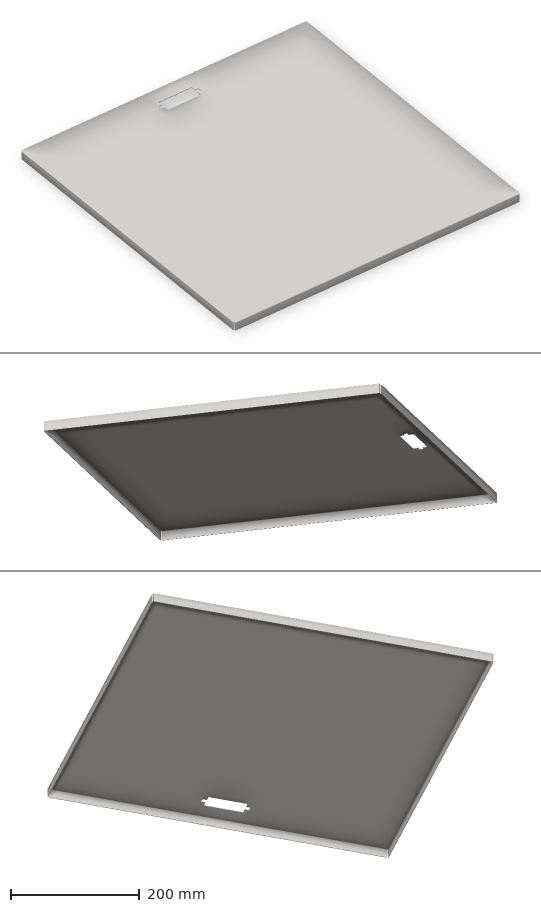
import cadquery as cq
import math

LENGTH_X = 554.4
LENGTH_Y = 555.4
HEIGHT = 16.2

THICKNESS = 1.2
BEND_RADIUS = 1.95
INNER_BEND_RADIUS = BEND_RADIUS - THICKNESS

FLAT_X = LENGTH_X - 2 * BEND_RADIUS
FLAT_Y = LENGTH_Y - 2 * BEND_RADIUS

CUTOUT_X = -235.0
CUTOUT_WIDTH = 24.0
CUTOUT_LENGTH = 64.0
NOTCH_WIDTH = 7.0
NOTCHED_LENGTH = 78.0


def top_sheet():
    """Flat sheet whose upper face lies at the full height."""
    return (
        cq.Workplane("XY")
        .workplane(offset=HEIGHT - THICKNESS)
        .rect(FLAT_X, FLAT_Y)
        .extrude(THICKNESS)
    )


def flange(outer_span, length, angle):
    """Quarter-round fold and straight lip on the +X side, turned about Z by angle degrees."""
    outer_x = outer_span / 2
    inner_x = outer_x - THICKNESS
    bend_x = outer_x - BEND_RADIUS
    bend_z = HEIGHT - BEND_RADIUS
    diagonal = math.sqrt(0.5)
    outer_mid = BEND_RADIUS * diagonal
    inner_mid = INNER_BEND_RADIUS * diagonal
    profile = (
        cq.Workplane("XZ")
        .moveTo(bend_x, HEIGHT)
        .threePointArc((bend_x + outer_mid, bend_z + outer_mid), (outer_x, bend_z))
        .lineTo(outer_x, 0)
        .lineTo(inner_x, 0)
        .lineTo(inner_x, bend_z)
        .threePointArc((bend_x + inner_mid, bend_z + inner_mid), (bend_x, HEIGHT - THICKNESS))
        .close()
    )
    strip = profile.extrude(length / 2, both=True)
    return strip.rotate((0, 0, 0), (0, 0, 1), angle)


def handle_cutout():
    """Rectangular opening with a narrow notch in the middle of each end."""
    base = cq.Workplane("XY").center(CUTOUT_X, 0)
    opening = base.rect(CUTOUT_WIDTH, CUTOUT_LENGTH).extrude(HEIGHT)
    notches = base.rect(NOTCH_WIDTH, NOTCHED_LENGTH).extrude(HEIGHT)
    return opening.union(notches)


panel = top_sheet()
for side_angle in (0, 180):
    panel = panel.union(flange(LENGTH_X, FLAT_Y, side_angle))
    panel = panel.union(flange(LENGTH_Y, FLAT_X, side_angle + 90))

result = panel.cut(handle_cutout())